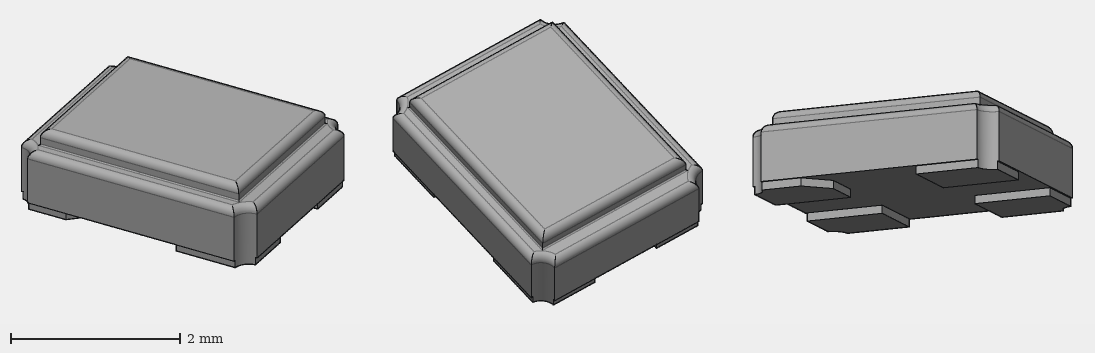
import cadquery as cq

length = 3.2
width = 2.5
pad_height = 0.1
body_top = 0.8
notch_radius = 0.2
edge_radius = 0.1

lid_length = 2.695
lid_width = 2.085
lid_top = 1.0
cove_radius = 0.015

pad_reach_x = 1.0
pad_reach_y = 0.8
pad_inset = 0.022
chamfer_x = 0.295
chamfer_y = 0.28

SIDES = (-1, 1)


def make_body():
    """Block with a quarter-round notch in each corner and a rounded top rim."""
    block = cq.Workplane("XY").workplane(offset=pad_height).rect(length, width)
    block = block.extrude(body_top - pad_height)
    return block.cut(corner_notches()).faces(">Z").edges().fillet(edge_radius)


def corner_notches():
    """Cylinders centred on the four vertical corners of the body."""
    corners = cq.Workplane("XY").rect(length, width, forConstruction=True).vertices()
    return corners.circle(notch_radius).extrude(body_top)


def make_lid():
    """Flat lid with a rounded top rim, standing on the body."""
    plate = cq.Workplane("XY").workplane(offset=body_top).rect(lid_length, lid_width)
    return plate.extrude(lid_top - body_top).faces(">Z").edges().fillet(edge_radius)


def base_cove():
    """Concave fillet running round the foot of the lid."""
    cove_top = body_top + cove_radius
    reach_x = lid_length / 2 + cove_radius
    reach_y = lid_width / 2 + cove_radius
    foot = cq.Workplane("XY").workplane(offset=body_top)
    foot = foot.rect(2 * reach_x, 2 * reach_y).extrude(cove_radius)
    for side in SIDES:
        end_groove = cq.Workplane("XZ").center(side * reach_x, cove_top).circle(cove_radius)
        side_groove = cq.Workplane("YZ").center(side * reach_y, cove_top).circle(cove_radius)
        foot = foot.cut(end_groove.extrude(reach_y, both=True))
        foot = foot.cut(side_groove.extrude(reach_x, both=True))
    return foot


def make_pad(side_x, side_y):
    """Rectangular pad under one corner, set in slightly from the body sides."""
    outer = (side_x * (length / 2 - pad_inset), side_y * (width / 2 - pad_inset))
    inner = (side_x * (length / 2 - pad_reach_x), side_y * (width / 2 - pad_reach_y))
    outline = [outer, (inner[0], outer[1]), inner, (outer[0], inner[1])]
    return cq.Workplane("XY").polyline(outline).close().extrude(pad_height)


def marker_chamfer():
    """Wedge that bevels the inner front corner of the first pad."""
    corner_x = pad_reach_x - length / 2
    corner_y = pad_inset - width / 2
    outline = [
        (corner_x, corner_y),
        (corner_x - chamfer_x, corner_y),
        (corner_x, corner_y + chamfer_y),
    ]
    return cq.Workplane("XY").polyline(outline).close().extrude(pad_height)


result = make_body().union(base_cove()).union(make_lid())
for side_x in SIDES:
    for side_y in SIDES:
        pad = make_pad(side_x, side_y).cut(corner_notches())
        if side_x < 0 and side_y < 0:
            pad = pad.cut(marker_chamfer())
        result = result.union(pad)